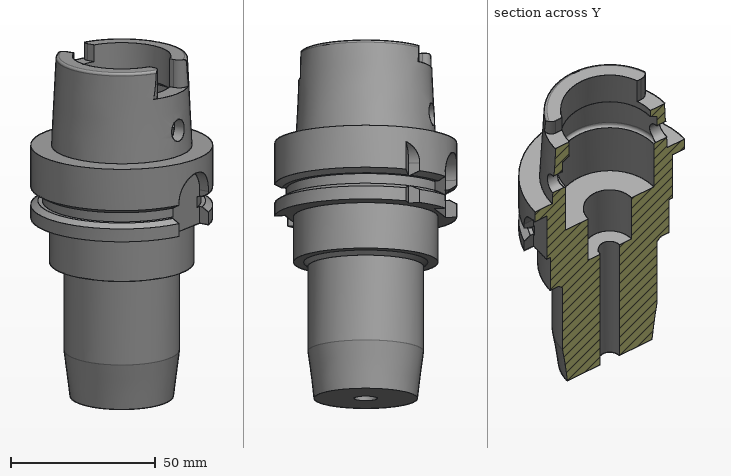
import cadquery as cq
import math


TAPER_LENGTH = 32.0
TAPER_BASE_RADIUS = 24.3
TAPER_SLOPE = 1 / 20
TAPER_RIM_FILLET = 1.0

BORE_RADIUS = 17.0
UNDERCUT_RADIUS = 19.8
UNDERCUT_TOP_Z = 19.0
LOWER_BORE_RADIUS = 18.5
UNDERCUT_ROUND_Z = 6.2
BORE_FLOOR_Z = -16.0
UNDERCUT_ROUND_RADIUS = UNDERCUT_RADIUS - LOWER_BORE_RADIUS
UNDERCUT_SHOULDER_HEIGHT = (UNDERCUT_RADIUS - BORE_RADIUS) * math.tan(math.radians(30))
TUBE_SEAT_RADIUS = 9.1
TUBE_SEAT_DEPTH = 20.0
COOLANT_RADIUS = 4.0

NOTCH_WIDTH = 12.4
LEFT_NOTCH_CORNER_RADIUS = 2.5
RIGHT_NOTCH_CORNER_RADIUS = 3.3
NOTCH_CLEARANCE = 0.02
LEFT_NOTCH_DEPTH = 6.0
RIGHT_NOTCH_DEPTH = 10.0
CROSS_HOLE_DIAMETER = 7.7
CROSS_HOLE_Z = 9.0

FLANGE_RADIUS = 31.5
FLANGE_HEIGHT = 26.0
GROOVE_CENTRE_Z = -18.1
GROOVE_FLOOR_WIDTH = 3.7
GROOVE_FLOOR_RADIUS = 27.5
GROOVE_SHOULDER_RADIUS = 29.0
GROOVE_FLANK_HEIGHT = (FLANGE_RADIUS - GROOVE_SHOULDER_RADIUS) * math.tan(math.radians(30))

LEFT_KEYWAY_WIDTH = 16.0
RIGHT_KEYWAY_WIDTH = 18.0
KEYWAY_FLOOR_X = 26.5
KEYWAY_TOP_Z = -5.0
INDEX_FLOOR_X = 20.4
INDEX_WALL_Y = 20.0
INDEX_ARC_RADIUS = 8.0
INDEX_ARC_Z = -12.0

COLLAR_RADIUS = 25.0
COLLAR_BOTTOM_Z = -42.0
NECK_RADIUS = 20.0
NECK_CHAMFER = 1.5
NOSE_TOP_Z = -73.4
TIP_RADIUS = 17.9
TIP_Z = -90.0


def taper_radius(z):
    return TAPER_BASE_RADIUS - TAPER_SLOPE * z


def make_body():
    groove_top = GROOVE_CENTRE_Z + GROOVE_FLOOR_WIDTH / 2
    groove_bottom = GROOVE_CENTRE_Z - GROOVE_FLOOR_WIDTH / 2
    outline = [
        (0, TIP_Z),
        (TIP_RADIUS, TIP_Z),
        (NECK_RADIUS, NOSE_TOP_Z),
        (NECK_RADIUS, COLLAR_BOTTOM_Z - NECK_CHAMFER),
        (NECK_RADIUS + NECK_CHAMFER, COLLAR_BOTTOM_Z),
        (COLLAR_RADIUS, COLLAR_BOTTOM_Z),
        (COLLAR_RADIUS, -FLANGE_HEIGHT),
        (FLANGE_RADIUS, -FLANGE_HEIGHT),
        (FLANGE_RADIUS, groove_bottom - GROOVE_FLANK_HEIGHT),
        (GROOVE_SHOULDER_RADIUS, groove_bottom),
        (GROOVE_FLOOR_RADIUS, groove_bottom),
        (GROOVE_FLOOR_RADIUS, groove_top),
        (GROOVE_SHOULDER_RADIUS, groove_top),
        (FLANGE_RADIUS, groove_top + GROOVE_FLANK_HEIGHT),
        (FLANGE_RADIUS, 0),
        (TAPER_BASE_RADIUS, 0),
        (taper_radius(TAPER_LENGTH), TAPER_LENGTH),
        (0, TAPER_LENGTH),
    ]
    body = cq.Workplane("YZ").polyline(outline).close().revolve(360, (0, 0), (0, 1))
    return body.faces(">Z").edges().fillet(TAPER_RIM_FILLET)


def make_bore():
    """Stepped bore whose undercut has a sloped shoulder above and a round below."""
    round_bottom_z = UNDERCUT_ROUND_Z - UNDERCUT_ROUND_RADIUS
    round_middle = (
        LOWER_BORE_RADIUS + UNDERCUT_ROUND_RADIUS * math.sin(math.pi / 4),
        UNDERCUT_ROUND_Z - UNDERCUT_ROUND_RADIUS * math.cos(math.pi / 4),
    )
    seat_floor_z = BORE_FLOOR_Z - TUBE_SEAT_DEPTH
    return (
        cq.Workplane("YZ")
        .moveTo(0, TIP_Z)
        .lineTo(COOLANT_RADIUS, TIP_Z)
        .lineTo(COOLANT_RADIUS, seat_floor_z)
        .lineTo(TUBE_SEAT_RADIUS, seat_floor_z)
        .lineTo(TUBE_SEAT_RADIUS, BORE_FLOOR_Z)
        .lineTo(LOWER_BORE_RADIUS, BORE_FLOOR_Z)
        .lineTo(LOWER_BORE_RADIUS, round_bottom_z)
        .threePointArc(round_middle, (UNDERCUT_RADIUS, UNDERCUT_ROUND_Z))
        .lineTo(UNDERCUT_RADIUS, UNDERCUT_TOP_Z - UNDERCUT_SHOULDER_HEIGHT)
        .lineTo(BORE_RADIUS, UNDERCUT_TOP_Z)
        .lineTo(BORE_RADIUS, TAPER_LENGTH)
        .lineTo(0, TAPER_LENGTH)
        .close()
        .revolve(360, (0, 0), (0, 1))
    )


def make_drive_notch(side, depth, corner_radius):
    """Rim notch on one side (+1 or -1 along X) that leaves rounded outer corners."""
    floor_z = TAPER_LENGTH - depth
    radius = taper_radius(floor_z) + NOTCH_CLEARANCE
    size = 2 * radius
    plane = cq.Workplane("XY").workplane(offset=floor_z)
    gap = plane.rect(2 * size, NOTCH_WIDTH).extrude(depth)
    kept_wall = plane.circle(radius).extrude(depth).cut(gap)
    kept_wall = kept_wall.edges("|Z").fillet(corner_radius)
    half_space = plane.center(side * size / 2, 0).rect(size, size).extrude(depth)
    return half_space.cut(kept_wall)


def make_cross_hole():
    length = 2 * TAPER_BASE_RADIUS
    plane = cq.Workplane("YZ").workplane(offset=-length / 2)
    return plane.center(0, CROSS_HOLE_Z).circle(CROSS_HOLE_DIAMETER / 2).extrude(length)


def make_round_top_slot(floor_x, centre_y, radius, arc_z):
    """Slot open at the flange bottom, with a round top, cut inwards along X down to floor_x."""
    depth = math.copysign(FLANGE_RADIUS, floor_x) - floor_x
    return (
        cq.Workplane("YZ")
        .workplane(offset=floor_x)
        .moveTo(centre_y - radius, -FLANGE_HEIGHT)
        .lineTo(centre_y - radius, arc_z)
        .threePointArc((centre_y, arc_z + radius), (centre_y + radius, arc_z))
        .lineTo(centre_y + radius, -FLANGE_HEIGHT)
        .close()
        .extrude(depth)
    )


def make_keyway(side, width):
    radius = width / 2
    return make_round_top_slot(side * KEYWAY_FLOOR_X, 0, radius, KEYWAY_TOP_Z - radius)


def make_index_notch():
    centre_y = INDEX_WALL_Y + INDEX_ARC_RADIUS
    return make_round_top_slot(-INDEX_FLOOR_X, centre_y, INDEX_ARC_RADIUS, INDEX_ARC_Z)


left_notch = make_drive_notch(-1, LEFT_NOTCH_DEPTH, LEFT_NOTCH_CORNER_RADIUS)
right_notch = make_drive_notch(1, RIGHT_NOTCH_DEPTH, RIGHT_NOTCH_CORNER_RADIUS)

result = make_body().cut(make_bore()).cut(make_cross_hole()).cut(make_index_notch())
result = result.cut(left_notch).cut(make_keyway(-1, LEFT_KEYWAY_WIDTH))
result = result.cut(right_notch).cut(make_keyway(1, RIGHT_KEYWAY_WIDTH))